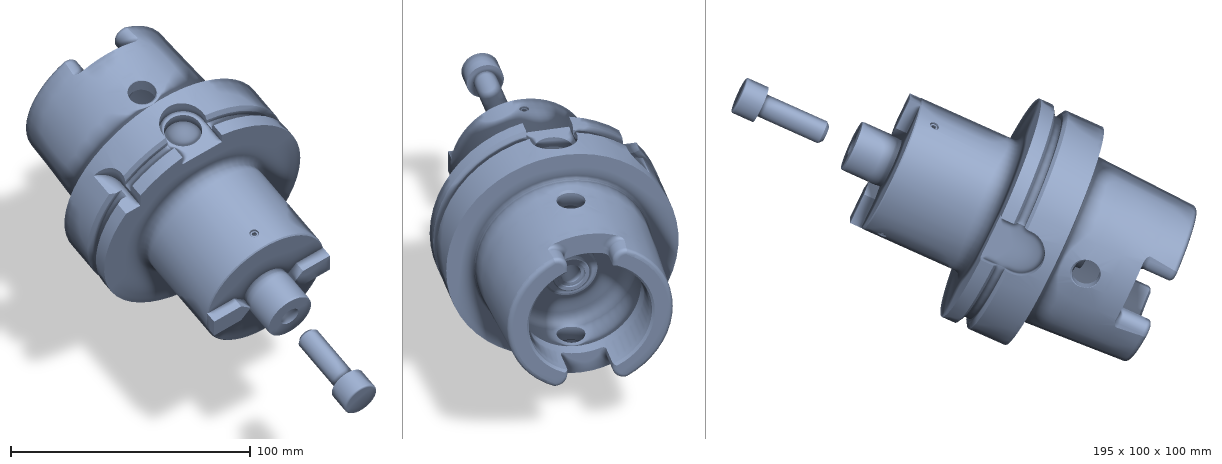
import cadquery as cq
import math

shank_length = 50.0
taper_end_radius = 37.9
taper_slope = 0.05
taper_end_x = -3.0
mouth_x = -shank_length
mouth_round = 2.0
rim_radius = taper_end_radius - taper_slope * (taper_end_x - mouth_x - mouth_round)
collar_x = -1.75
collar_radius = 38.2
flange_root_round = 1.1

bore_radius = 53.0 / 2
bore_mouth_chamfer = 1.0
bore_floor_x = -5.0
bore_floor_radius = 25.5
recess_radius = 30.5
recess_start_x = -29.6
recess_ramp_angle = 60.0
recess_floor_round = recess_radius - bore_floor_radius

stub_base_radius = 24.0 / 2
stub_base_end_x = -12.8
stub_base_chamfer = 1.0
stub_base_chamfer_length = 0.3
stub_tip_radius = 16.0 / 2
stub_tip_end_x = -15.7
stub_tip_chamfer = (16.0 - 15.3) / 2
stub_recess_diameter = 12.0
stub_recess_depth = 1.0

slot_half_width = 9.75
slot_shoulder_height = 32.0
slot_shoulder_round = 5.0
slot_end_round = 2.0
top_slot_depth = 10.0
bottom_slot_depth = 15.0

cross_hole_x = -15.0
cross_hole_radius = 12.0 / 2
cross_hole_sink_height = 36.75
cross_hole_top = taper_end_radius + 1.0
cross_hole_bottom = 20.0

flange_radius = 50.0
flange_width = 29.0
gripper_center_x = 19.85
gripper_floor_radius = 46.0
gripper_shoulder_radius = 48.0
gripper_floor_width = 3.8
gripper_mouth_width = 6.3

keyway_width = 20.0
keyway_center_x = 15.0
keyway_floor = 44.0
chip_hole_diameter = 16.0
chip_hole_depth = 4.6

notch_edge = 31.5

body_radius = 30.0
body_end_x = 75.0
body_root_round = 3.0
body_end_chamfer = 0.5
spigot_radius = 22.0 / 2
spigot_end_x = 93.0
spigot_neck_radius = 21.6 / 2
spigot_neck_end_x = 76.3
spigot_neck_ramp = 0.9
spigot_lead_length = 1.0
spigot_lead_height = 0.2
thread_hole_diameter = 8.7

key_width = 10.0
key_end_x = 80.0
key_root_x = body_end_x - body_end_chamfer
key_outer_y = 29.5
key_shoulder_y = 15.8
key_tip_y = key_shoulder_y - key_width / 2

radial_hole_x = 67.0
radial_hole_angles = [90, 210, 330]
set_screw_diameter = 4.0
set_screw_end_diameter = 3.0
set_screw_depth = 0.6
set_screw_chamfer = (set_screw_diameter - set_screw_end_diameter) / 2
socket_corner_diameter = 2.31
socket_depth = 1.5

screw_tip_x = 105.0
screw_shaft_length = 30.0
screw_shaft_radius = 10.0 / 2
screw_tip_chamfer = 1.6
screw_head_radius = 16.0 / 2
screw_head_length = 10.0
screw_head_round = 0.8


def turned(profile):
    """Turn a profile drawn in the XY plane about the X axis."""
    return profile.close().revolve(360, (0, 0, 0), (1, 0, 0))


def make_blank():
    """Outside of the holder as one turned shape, with no bore yet."""
    floor_half = gripper_floor_width / 2
    mouth_half = gripper_mouth_width / 2
    return turned(
        cq.Workplane("XY")
        .moveTo(mouth_x, 0)
        .lineTo(mouth_x, rim_radius - mouth_round)
        .radiusArc((mouth_x + mouth_round, rim_radius), mouth_round)
        .lineTo(taper_end_x, taper_end_radius)
        .lineTo(collar_x, taper_end_radius)
        .lineTo(-flange_root_round, collar_radius)
        .radiusArc((0, collar_radius + flange_root_round), -flange_root_round)
        .lineTo(0, flange_radius)
        .lineTo(gripper_center_x - mouth_half, flange_radius)
        .lineTo(gripper_center_x - floor_half, gripper_shoulder_radius)
        .lineTo(gripper_center_x - floor_half, gripper_floor_radius)
        .lineTo(gripper_center_x + floor_half, gripper_floor_radius)
        .lineTo(gripper_center_x + floor_half, gripper_shoulder_radius)
        .lineTo(gripper_center_x + mouth_half, flange_radius)
        .lineTo(flange_width, flange_radius)
        .lineTo(flange_width, body_radius + body_root_round)
        .radiusArc((flange_width + body_root_round, body_radius), -body_root_round)
        .lineTo(body_end_x - body_end_chamfer, body_radius)
        .lineTo(body_end_x, body_radius - body_end_chamfer)
        .lineTo(body_end_x, spigot_neck_radius)
        .lineTo(spigot_neck_end_x, spigot_neck_radius)
        .lineTo(spigot_neck_end_x + spigot_neck_ramp, spigot_radius)
        .lineTo(spigot_end_x - spigot_lead_length, spigot_radius)
        .lineTo(spigot_end_x, spigot_radius - spigot_lead_height)
        .lineTo(spigot_end_x, 0)
    )


def make_bore():
    """Turned cavity of the shank, leaving the stepped stub standing on its floor."""
    ramp_length = (recess_radius - bore_radius) / math.tan(math.radians(recess_ramp_angle))
    return turned(
        cq.Workplane("XY")
        .moveTo(mouth_x, 0)
        .lineTo(mouth_x, bore_radius + bore_mouth_chamfer)
        .lineTo(mouth_x + bore_mouth_chamfer, bore_radius)
        .lineTo(recess_start_x, bore_radius)
        .lineTo(recess_start_x + ramp_length, recess_radius)
        .lineTo(bore_floor_x - recess_floor_round, recess_radius)
        .radiusArc((bore_floor_x, bore_floor_radius), recess_floor_round)
        .lineTo(bore_floor_x, stub_base_radius)
        .lineTo(stub_base_end_x + stub_base_chamfer_length, stub_base_radius)
        .lineTo(stub_base_end_x, stub_base_radius - stub_base_chamfer)
        .lineTo(stub_base_end_x, stub_tip_radius)
        .lineTo(stub_tip_end_x + stub_tip_chamfer, stub_tip_radius)
        .lineTo(stub_tip_end_x, stub_tip_radius - stub_tip_chamfer)
        .lineTo(stub_tip_end_x, 0)
    )


def slot_wall_edges(x):
    """Selector for the wall and shoulder edges of a drive slot cutter at one place along X."""
    margin = 0.1
    reach = flange_radius - margin
    return cq.selectors.BoxSelector((x - margin, -reach, margin), (x + margin, reach, reach))


def make_drive_slot(depth):
    """Cutter for the top drive slot: its walls round over into flat shoulders.

    A block in front of the mouth lets the front edges of the slot flare out with the rim rounding.
    """
    shoulder_start_y = slot_half_width + slot_shoulder_round
    wall_top_z = slot_shoulder_height - slot_shoulder_round
    reach = flange_radius
    slot = (
        cq.Workplane("YZ", origin=(mouth_x, 0, 0))
        .moveTo(-slot_half_width, 0)
        .lineTo(-slot_half_width, wall_top_z)
        .radiusArc((-shoulder_start_y, slot_shoulder_height), -slot_shoulder_round)
        .lineTo(-reach, slot_shoulder_height)
        .lineTo(-reach, reach)
        .lineTo(reach, reach)
        .lineTo(reach, slot_shoulder_height)
        .lineTo(shoulder_start_y, slot_shoulder_height)
        .radiusArc((slot_half_width, wall_top_z), -slot_shoulder_round)
        .lineTo(slot_half_width, 0)
        .close()
        .extrude(depth)
    )
    front_block = (
        cq.Workplane("YZ", origin=(mouth_x, 0, 0))
        .rect(4 * reach, 4 * reach)
        .extrude(-depth)
    )
    return (
        front_block.union(slot)
        .edges(slot_wall_edges(mouth_x + depth))
        .fillet(slot_end_round)
        .edges(slot_wall_edges(mouth_x))
        .fillet(mouth_round)
    )


def make_cross_hole():
    """Cutter through the top wall of the shank, countersunk at 45 degrees on the outside."""
    up = cq.Vector(0, 0, 1)
    sink_depth = cross_hole_top - cross_hole_sink_height
    hole = cq.Solid.makeCylinder(
        cross_hole_radius,
        cross_hole_top - cross_hole_bottom,
        cq.Vector(cross_hole_x, 0, cross_hole_bottom),
        up,
    )
    countersink = cq.Solid.makeCone(
        cross_hole_radius,
        cross_hole_radius + sink_depth,
        sink_depth,
        cq.Vector(cross_hole_x, 0, cross_hole_sink_height),
        up,
    )
    return cq.Workplane(hole).union(cq.Workplane(countersink))


def make_keyway(center_y, floor):
    """Keyway cutter with a round end, open toward the body and upward from its floor."""
    length = flange_width - keyway_center_x
    height = flange_radius - floor
    floor_plane = cq.Workplane("XY", origin=(keyway_center_x, center_y, floor))
    round_end = floor_plane.circle(keyway_width / 2).extrude(height)
    straight = floor_plane.box(length, keyway_width, height, centered=(False, True, False))
    return round_end.union(straight)


def make_key():
    """Driving key at +Y, its inner end pointed toward the axis."""
    return (
        cq.Workplane("YZ", origin=(key_root_x, 0, 0))
        .moveTo(key_tip_y, 0)
        .lineTo(key_shoulder_y, key_width / 2)
        .lineTo(key_outer_y, key_width / 2)
        .lineTo(key_outer_y, -key_width / 2)
        .lineTo(key_shoulder_y, -key_width / 2)
        .close()
        .extrude(key_end_x - key_root_x)
    )


def make_radial_hole(angle):
    """Shallow recess showing the chamfered end of a socket set screw, at an angle about X."""
    end_z = body_radius - set_screw_depth
    recess = (
        cq.Workplane("XZ")
        .moveTo(0, end_z)
        .lineTo(set_screw_end_diameter / 2, end_z)
        .lineTo(set_screw_diameter / 2, end_z - set_screw_chamfer)
        .lineTo(set_screw_diameter / 2, body_radius + set_screw_depth)
        .lineTo(0, body_radius + set_screw_depth)
        .close()
        .revolve(360, (0, 0, 0), (0, 1, 0))
    )
    socket = (
        cq.Workplane("XY", origin=(0, 0, end_z))
        .polygon(6, socket_corner_diameter)
        .extrude(-socket_depth)
    )
    cutter = recess.union(socket).translate((radial_hole_x, 0, 0))
    return cutter.rotate((0, 0, 0), (1, 0, 0), angle - 90)


def make_holder():
    holder = make_blank().cut(make_bore())

    holder = holder.cut(make_drive_slot(top_slot_depth))
    holder = holder.cut(make_drive_slot(bottom_slot_depth).rotate((0, 0, 0), (1, 0, 0), 180))
    cross_hole = make_cross_hole()
    holder = holder.cut(cross_hole).cut(cross_hole.rotate((0, 0, 0), (1, 0, 0), 180))

    keyway = make_keyway(0, keyway_floor)
    holder = holder.cut(keyway)
    holder = holder.cut(keyway.rotate((0, 0, 0), (1, 0, 0), 180))
    chip_hole = (
        cq.Workplane("XY", origin=(keyway_center_x, 0, keyway_floor - chip_hole_depth))
        .circle(chip_hole_diameter / 2)
        .extrude(flange_radius)
    )
    holder = holder.cut(chip_hole)
    holder = holder.cut(make_keyway(-notch_edge - keyway_width / 2, notch_edge))

    key = make_key()
    holder = holder.union(key).union(key.rotate((0, 0, 0), (1, 0, 0), 180))

    for angle in radial_hole_angles:
        holder = holder.cut(make_radial_hole(angle))

    thread_hole = (
        cq.Workplane("YZ", origin=(stub_tip_end_x, 0, 0))
        .circle(thread_hole_diameter / 2)
        .extrude(spigot_end_x - stub_tip_end_x)
    )
    recess = (
        cq.Workplane("YZ", origin=(stub_tip_end_x, 0, 0))
        .circle(stub_recess_diameter / 2)
        .extrude(stub_recess_depth)
    )
    return holder.cut(thread_hole).cut(recess)


def make_screw():
    """Cap screw on the holder axis, its tip toward the spigot."""
    head_x = screw_tip_x + screw_shaft_length
    end_x = head_x + screw_head_length
    return turned(
        cq.Workplane("XY")
        .moveTo(screw_tip_x, 0)
        .lineTo(screw_tip_x, screw_shaft_radius - screw_tip_chamfer)
        .lineTo(screw_tip_x + screw_tip_chamfer, screw_shaft_radius)
        .lineTo(head_x, screw_shaft_radius)
        .lineTo(head_x, screw_head_radius)
        .lineTo(end_x - screw_head_round, screw_head_radius)
        .radiusArc((end_x, screw_head_radius - screw_head_round), screw_head_round)
        .lineTo(end_x, 0)
    )


holder = make_holder()
screw = make_screw()
result = cq.Compound.makeCompound([holder.val(), screw.val()])